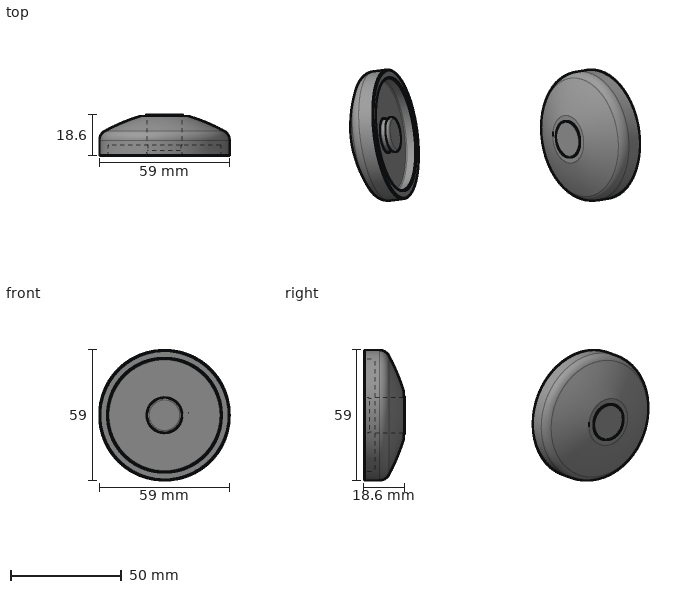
import cadquery as cq
import math


outer_radius = 29.5
edge_break = 0.5
side_end = 7.0
dome_start = 11.2
dome_start_radius = 27.0
crown_radius = 10.85
crown_depth = 18.0
dome_bulge = 0.5

recess_radius = 25.5
recess_depth = 4.9

neck_radius = 7.5
shank_radius = neck_radius + edge_break
front_head_radius = 8.0
front_head_round = 1.1
front_head_depth = 0.4
back_head_radius = 8.4
overall_depth = 18.6

fillet_middle = edge_break * (1 - math.sqrt(0.5))


def revolve_about_y(profile):
    """Turn a closed (radius, depth) profile one full turn about Y."""
    return profile.close().revolve(360, (0, 0, 0), (0, 1, 0))


def make_wheel():
    """Domed wheel with a round recess and a bore for the hub insert."""
    shoulder_inset = outer_radius - dome_start_radius
    shoulder_rise = dome_start - side_end

    run = dome_start_radius - crown_radius
    rise = crown_depth - dome_start
    chord = math.hypot(run, rise)
    dome_middle = (
        (dome_start_radius + crown_radius) / 2 + dome_bulge * rise / chord,
        (dome_start + crown_depth) / 2 + dome_bulge * run / chord,
    )

    profile = (
        cq.Workplane("XY")
        .moveTo(recess_radius + edge_break, 0)
        .lineTo(outer_radius - edge_break, 0)
        .lineTo(outer_radius, edge_break)
        .lineTo(outer_radius, side_end)
        .tangentArcPoint((-shoulder_inset, shoulder_rise))
        .threePointArc(dome_middle, (crown_radius, crown_depth))
        .lineTo(shank_radius, crown_depth)
        .lineTo(shank_radius, recess_depth)
        .lineTo(recess_radius - edge_break, recess_depth)
        .threePointArc(
            (recess_radius - fillet_middle, recess_depth - fillet_middle),
            (recess_radius, recess_depth - edge_break),
        )
        .lineTo(recess_radius, edge_break)
    )
    return revolve_about_y(profile)


def make_hub_insert():
    """Insert through the wheel with a rounded head at each end."""
    front_flat_radius = front_head_radius - front_head_round
    head_side_depth = front_head_depth + front_head_round
    neck_start = head_side_depth + math.sqrt(
        front_head_round**2 - (neck_radius - front_flat_radius) ** 2
    )
    profile = (
        cq.Workplane("XY")
        .moveTo(0, front_head_depth)
        .lineTo(front_flat_radius, front_head_depth)
        .threePointArc((front_head_radius, head_side_depth), (neck_radius, neck_start))
        .lineTo(neck_radius, recess_depth - edge_break)
        .threePointArc(
            (neck_radius + fillet_middle, recess_depth - fillet_middle),
            (shank_radius, recess_depth),
        )
        .lineTo(shank_radius, crown_depth)
        .lineTo(back_head_radius, crown_depth)
        .lineTo(back_head_radius, overall_depth - edge_break)
        .threePointArc(
            (back_head_radius - fillet_middle, overall_depth - fillet_middle),
            (back_head_radius - edge_break, overall_depth),
        )
        .lineTo(0, overall_depth)
    )
    return revolve_about_y(profile)


wheel = make_wheel()
hub_insert = make_hub_insert()

result = cq.Compound.makeCompound([wheel.val(), hub_insert.val()])